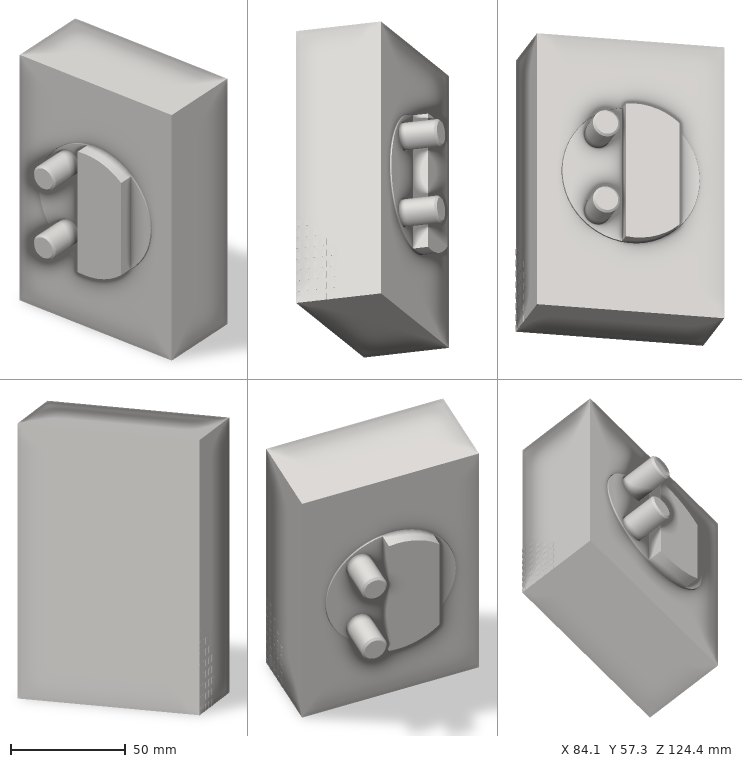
import cadquery as cq

BLOCK_WIDTH = 84.0
BLOCK_DEPTH = 39.5
BLOCK_HEIGHT = 124.4

PLATE_RADIUS = 30.75
GROOVE_RADIUS = 31.0
GROOVE_DEPTH = 1.0
PLATE_THICKNESS = 0.63

BAR_LEFT = -4.0
BAR_WIDTH = 24.0
BAR_PROJECTION = PLATE_THICKNESS + 7.0

PIN_DIAMETER = 12.0
PIN_CHAMFER = 0.95
PIN_PROJECTION = 17.83
PIN_X = -15.0
PIN_SPACING = 35.0
PIN_HEIGHTS = (-PIN_SPACING / 2, PIN_SPACING / 2)
PIN_HOLE_DIAMETER = 13.0

PAD_DEPTH = 2.0
PAD_HEIGHT = 3.0
PAD_THICKNESS = 0.1
PAD_PITCH_Y = 4.0
PAD_PITCH_Z = 5.0
PADS_PER_COLUMN = (8, 8, 7, 6, 5)


def front_disc(x, z, radius, projection):
    """Cylinder from the front face towards -Y, or into the block if the projection is negative."""
    return cq.Workplane("XZ").center(x, z).circle(radius).extrude(projection)


def make_block():
    return cq.Workplane("XY").box(BLOCK_WIDTH, BLOCK_DEPTH, BLOCK_HEIGHT).translate((0, BLOCK_DEPTH / 2, 0))


def cut_groove(body):
    """Narrow ring sunk into the front face around the plate."""
    ring = front_disc(0, 0, GROOVE_RADIUS, -GROOVE_DEPTH).cut(front_disc(0, 0, PLATE_RADIUS, -GROOVE_DEPTH))
    return body.cut(ring)


def make_plate():
    plate = front_disc(0, 0, PLATE_RADIUS, PLATE_THICKNESS)
    for z in PIN_HEIGHTS:
        plate = plate.cut(front_disc(PIN_X, z, PIN_HOLE_DIAMETER / 2, PLATE_THICKNESS))
    return plate


def make_bar():
    strip = (
        cq.Workplane("XZ")
        .center(BAR_LEFT + BAR_WIDTH / 2, 0)
        .rect(BAR_WIDTH, 2 * PLATE_RADIUS)
        .extrude(BAR_PROJECTION)
    )
    return strip.intersect(front_disc(0, 0, PLATE_RADIUS, BAR_PROJECTION))


def make_pin(z):
    pin = front_disc(PIN_X, z, PIN_DIAMETER / 2, PIN_PROJECTION)
    return pin.faces("<Y").chamfer(PIN_CHAMFER)


def add_pads(body):
    """Fuse the pads, each sunk one thickness into the side so that it joins the block."""
    for column, pad_count in enumerate(PADS_PER_COLUMN):
        y = BLOCK_DEPTH - PAD_DEPTH / 2 - column * PAD_PITCH_Y
        for row in range(pad_count):
            z = -BLOCK_HEIGHT / 2 + PAD_HEIGHT / 2 + row * PAD_PITCH_Z
            pad = cq.Workplane("XY").box(2 * PAD_THICKNESS, PAD_DEPTH, PAD_HEIGHT)
            body = body.union(pad.translate((-BLOCK_WIDTH / 2, y, z)))
    return body


result = cut_groove(make_block()).union(make_plate()).union(make_bar())
for pin_z in PIN_HEIGHTS:
    result = result.union(make_pin(pin_z))
result = add_pads(result)